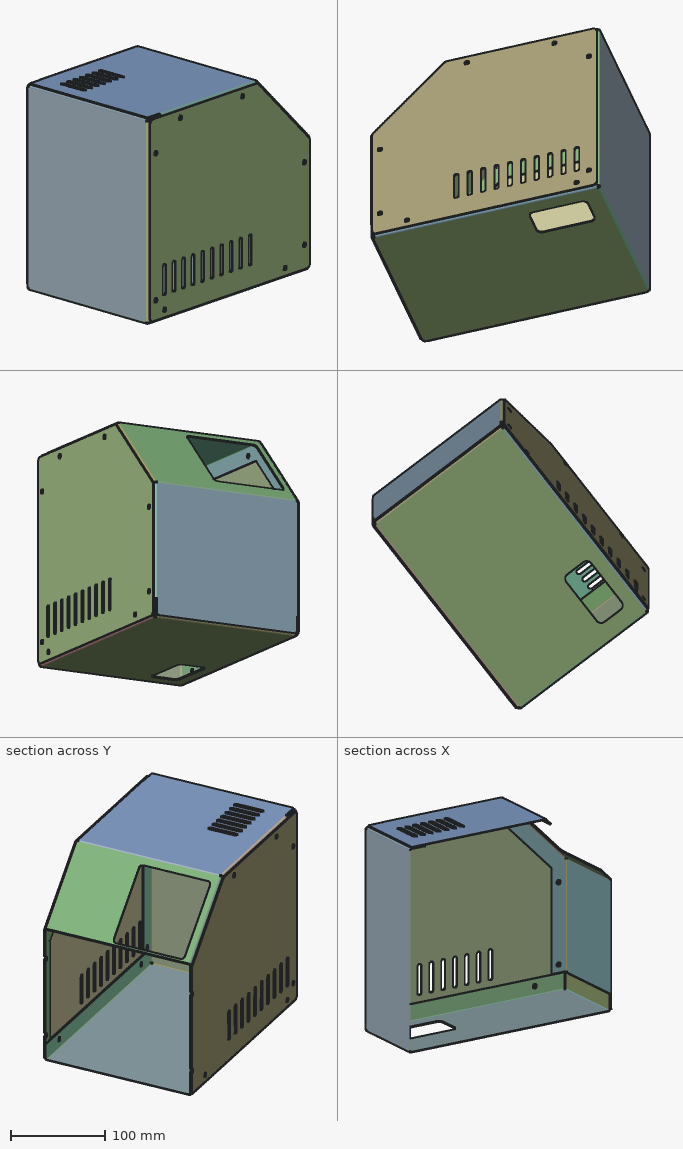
import cadquery as cq
import math


body_width = 175.0
length = 256.5
height = 231.5

sheet = 1.6
bend_radius = 2.5
flange_depth = 20.0
lap_length = 20.8
lap_corner_radius = 2.0

base_length = length - sheet
base_height = height - sheet
half_width = body_width / 2
strip_half_width = half_width - bend_radius
slope_leg = 83.4
slope_angle = 45

plate_corner_radius = 5.0
screw_diameter = 5.1
screw_edge = 11.3
front_screw_heights = (25.1, 190.0)
back_screw_heights = (30.0, 122.5)
floor_screw_places = (25.1, 215.0)
top_screw_places = (50.0, 148.0)

slot_length = 35.0
slot_width = 5.1
slot_front = 25.0
side_slot_count = 10
side_slot_row = 135.0
side_slot_height = 45.1
top_slot_count = 7
top_slot_row = 59.8
top_slot_x = -42.5

window_width = 85.2
window_length = 90.0
window_x = -35.1
window_top = 9.5
window_radius = 4.0

opening_left = -70.5
opening_right = -37.2
opening_front = 20.3
opening_back = 85.2
opening_radius = 6.0

cutter_margin = 2.5

front_bottom = (0, 0)
front_top = (0, base_height)
slope_top = (length - slope_leg, height)
slope_bottom = (length, height - slope_leg)
base_profile = [front_bottom, (base_length, 0), (base_length, base_height), front_top]
cover_profile = [front_bottom, (length, 0), slope_bottom, slope_top, (0, height)]

slope_bend_setback = bend_radius * math.tan(math.radians(slope_angle / 2))


def block(x_range, y_range, z_range):
    """Box between the given limits."""
    spans = [high - low for low, high in (x_range, y_range, z_range)]
    return cq.Workplane("XY").box(*spans, centered=False).translate((x_range[0], y_range[0], z_range[0]))


def profile_prism(profile, inset, corner_radius, half_span):
    """Prism across X on a profile moved inwards, with rounded corners."""
    outline = cq.Workplane("YZ").polyline(profile).close()
    if inset:
        outline = outline.offset2D(-inset)
    return outline.extrude(half_span, both=True).edges("|X").fillet(corner_radius)


def bent_ring(profile):
    """Closed band of sheet bent around a profile."""
    outside = profile_prism(profile, 0, bend_radius, strip_half_width)
    inside = profile_prism(profile, sheet, bend_radius - sheet, body_width)
    return outside.cut(inside)


def side_flanges(start, end):
    """Pair of bent side flanges along one straight run of a profile, turned towards its inside."""
    run = (end[0] - start[0], end[1] - start[1])
    plane = cq.Plane(origin=(0, *start), xDir=(1, 0, 0), normal=(0, *run))
    middle = math.sqrt(0.5)
    outer_mid = (strip_half_width + bend_radius * middle, bend_radius * (1 - middle))
    inner_mid = (
        strip_half_width + (bend_radius - sheet) * middle,
        bend_radius - (bend_radius - sheet) * middle,
    )
    flange = (
        cq.Workplane(plane)
        .moveTo(strip_half_width, 0)
        .threePointArc(outer_mid, (half_width, bend_radius))
        .lineTo(half_width, flange_depth)
        .lineTo(half_width - sheet, flange_depth)
        .lineTo(half_width - sheet, bend_radius)
        .threePointArc(inner_mid, (strip_half_width, sheet))
        .close()
        .extrude(math.hypot(*run))
    )
    return flange.union(flange.mirror("YZ"))


def make_screw_holes():
    """Drills across X for the screws through the side plates and the flanges behind them."""
    top_row = height - screw_edge
    back_row = length - screw_edge
    places = [(screw_edge, z) for z in front_screw_heights]
    places += [(back_row, z) for z in back_screw_heights]
    places += [(y, screw_edge) for y in floor_screw_places]
    places += [(y, top_row) for y in top_screw_places]
    return cq.Workplane("YZ").pushPoints(places).circle(screw_diameter / 2).extrude(body_width, both=True)


def make_base():
    """Front and floor, with a lap under the cover at the top and another at the back."""
    back_space = block((-body_width, body_width), (flange_depth, length), (flange_depth, height))
    base = bent_ring(base_profile).cut(back_space)
    floor_run = side_flanges((base_length - bend_radius, 0), (bend_radius, 0))
    front_run = side_flanges((0, bend_radius), (0, base_height - bend_radius))
    through_floor = (-cutter_margin, cutter_margin)
    opening = block((opening_left, opening_right), (opening_front, opening_back), through_floor)
    opening = opening.edges("|Z").fillet(opening_radius)
    return base.union(floor_run).union(front_run).cut(opening).cut(screw_holes)


def make_window():
    """Cutter for the rounded window in the slope."""
    along = window_top + window_length / 2
    drop = along * math.sin(math.radians(slope_angle))
    centre = (window_x, slope_top[0] + drop, slope_top[1] - drop)
    plane = cq.Plane(origin=centre, xDir=(1, 0, 0), normal=(0, 1, 1))
    outline = cq.Sketch().rect(window_width, window_length).vertices().fillet(window_radius)
    return cq.Workplane(plane).placeSketch(outline).extrude(bend_radius, both=True)


def make_top_slots():
    """Cutters for the row of vent slots in the top."""
    pitch = top_slot_row / (top_slot_count - 1)
    places = [(top_slot_x, slot_front + i * pitch) for i in range(top_slot_count)]
    slots = cq.Workplane("XY", origin=(0, 0, height)).pushPoints(places).slot2D(slot_length, slot_width)
    return slots.extrude(bend_radius, both=True)


def make_cover():
    """Top, slope and back, with flat laps over the base at the front and at the bottom."""
    across = (-body_width, body_width)
    lap_end = (-cutter_margin, bend_radius)
    front_space = block(across, lap_end, (-cutter_margin, height + cutter_margin))
    floor_space = block(across, (-cutter_margin, length + cutter_margin), lap_end)
    cover = bent_ring(cover_profile).cut(front_space).cut(floor_space)
    cover = cover.faces("<Y").edges("|Z").fillet(lap_corner_radius)
    cover = cover.faces("<Z").edges("|Y").fillet(lap_corner_radius)

    slope_setback = slope_bend_setback * math.sin(math.radians(slope_angle))
    runs = [
        ((lap_length, height), (slope_top[0] - slope_bend_setback, height)),
        (
            (slope_top[0] + slope_setback, slope_top[1] - slope_setback),
            (slope_bottom[0] - slope_setback, slope_bottom[1] + slope_setback),
        ),
        ((length, slope_bottom[1] - slope_bend_setback), (length, lap_length)),
    ]
    for start, end in runs:
        cover = cover.union(side_flanges(start, end))
    return cover.cut(make_window()).cut(make_top_slots()).cut(screw_holes)


def make_side_plate(side):
    """Flat plate over the flanges of one side: -1 is the -X side and 1 the +X side."""
    plate = profile_prism(cover_profile, bend_radius, plate_corner_radius, sheet / 2)
    pitch = side_slot_row / (side_slot_count - 1)
    places = [(slot_front + i * pitch, side_slot_height) for i in range(side_slot_count)]
    slots = cq.Workplane("YZ").pushPoints(places).slot2D(slot_length, slot_width, 90)
    plate = plate.cut(slots.extrude(sheet, both=True)).cut(screw_holes)
    return plate.translate((side * (half_width + sheet / 2), 0, 0))


screw_holes = make_screw_holes()
base = make_base()
cover = make_cover()
side_plates = [make_side_plate(side) for side in (-1, 1)]

result = cq.Compound.makeCompound([base.val(), cover.val(), *[plate.val() for plate in side_plates]])